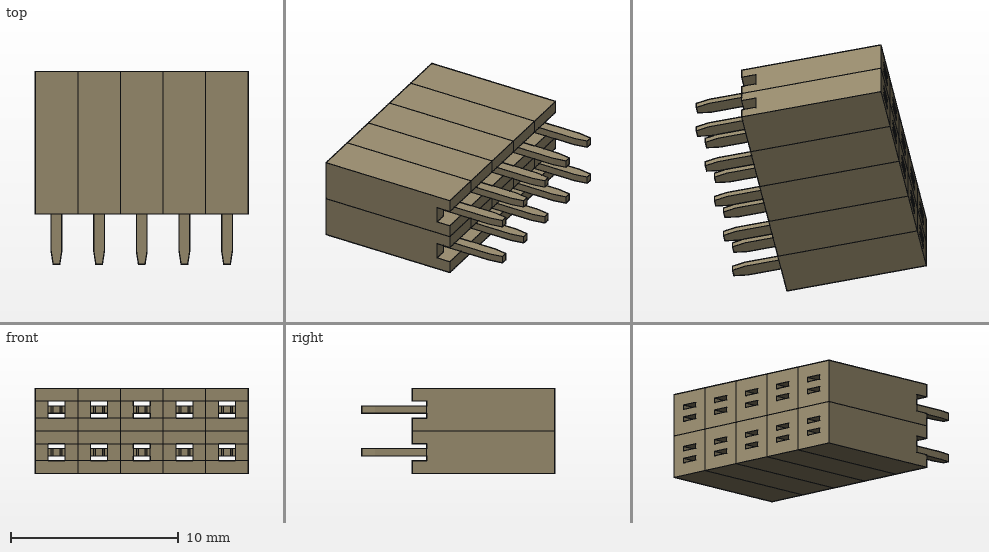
import cadquery as cq

PITCH = 2.54
COLUMNS = 5
ROWS = 2

BODY_LENGTH = 8.5
BORE_SIZE = 1.0
SLOT_HEIGHT = BORE_SIZE
SLOT_DEPTH = 0.87

PIN_LENGTH = 3.0
PIN_WIDTH = 0.65
PIN_THICKNESS = 0.45
TIP_WIDTH = 0.4
TIP_LENGTH = 0.8
SHOULDER_WIDTH = BORE_SIZE
SHOULDER_SETBACK = 0.5


def make_insulator():
    """Block from Y = 0 (front face) to Y = BODY_LENGTH, centred on the Y axis."""
    block = cq.Workplane("XY").box(PITCH, BODY_LENGTH, PITCH, centered=(True, False, True))
    bore = cq.Workplane("XY").box(BORE_SIZE, BODY_LENGTH, BORE_SIZE, centered=(True, False, True))
    slot = cq.Workplane("XY").box(PITCH, SLOT_DEPTH, SLOT_HEIGHT, centered=(True, False, True))
    return block.cut(bore).cut(slot)


def make_contact():
    """Flat contact with its shoulders inside the bore, behind the slot."""
    shoulder_y = SLOT_DEPTH + SHOULDER_SETBACK
    half_pin = PIN_WIDTH / 2
    half_tip = TIP_WIDTH / 2
    half_shoulder = SHOULDER_WIDTH / 2
    taper_start = TIP_LENGTH - PIN_LENGTH
    right_side = [
        (half_tip, -PIN_LENGTH),
        (half_pin, taper_start),
        (half_pin, shoulder_y),
        (half_shoulder, shoulder_y),
        (half_shoulder, BODY_LENGTH),
    ]
    left_side = [(-x, y) for x, y in reversed(right_side)]
    outline = cq.Workplane("XY").polyline(right_side + left_side).close()
    return outline.extrude(PIN_THICKNESS / 2, both=True)


def make_module():
    """One insulator and its contact, joined along the bore walls."""
    return make_insulator().union(make_contact())


module = make_module()
modules = []
for row in range(ROWS):
    for column in range(COLUMNS):
        x = (column - (COLUMNS - 1) / 2) * PITCH
        z = (row - (ROWS - 1) / 2) * PITCH
        modules.append(module.translate((x, 0, z)).val())

result = cq.Compound.makeCompound(modules)